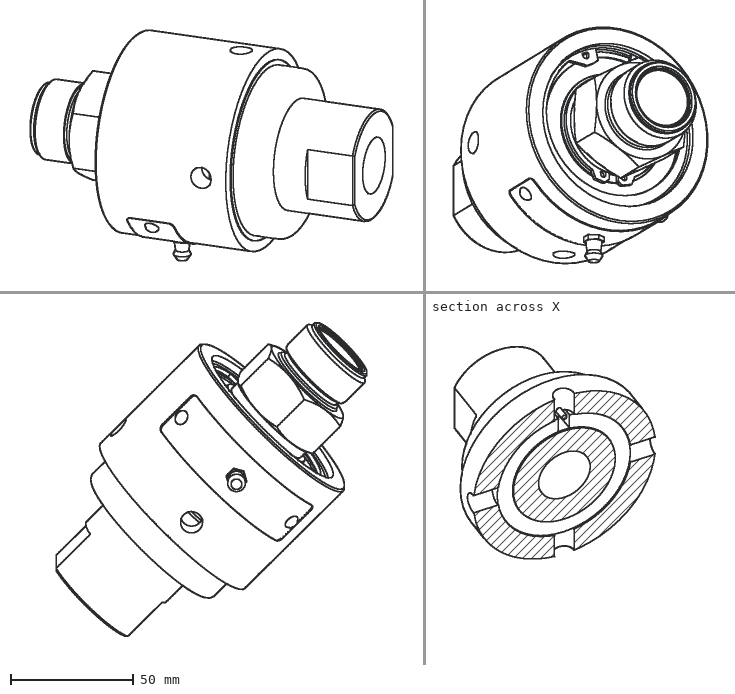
import cadquery as cq
import math

total_length = 147.0

bore_diameter = 23.5
mouth_diameter = 25.0
mouth_depth = 0.9
mouth_chamfer = 0.6
seat_diameter = 24.3
seat_end = 1.5

tip_diameter = 30.3
tip_length = 1.9
tip_chamfer = 0.6
thread_diameter = 33.4
thread_chamfer_end = 3.2
thread_end = 14.5
thread_shoulder = 15.7
shoulder_diameter = 32.6
relief_diameter = 29.5
relief_chamfer = 0.7
relief_end = 18.2
collar_start = 19.0
collar_diameter = 32.0

hex_start = 20.0
hex_end = 39.8
hex_across_flats = 41.2
hex_chamfer_angle = 30.0
journal_diameter = 40.0

housing_start = 40.4
housing_end = 99.0
housing_diameter = 84.0
housing_chamfer = 0.7

recess_diameter = 68.0
recess_mouth_chamfer = 0.7
ring_face = 44.1
ring_thickness = 1.8
bearing_face = ring_face + ring_thickness
bearing_edge_diameter = 65.5
bearing_edge_depth = 0.7
outer_race_bore = 61.2
inner_race_diameter = 46.5
shield_depth = 0.9

ring_bore_diameter = 62.3
ring_bore_offset = 2.0
ring_hole_diameter = 3.0
ring_hole_y = 13.0
ring_hole_z = 29.3
ring_gap_top_y = 8.7
ring_gap_corner = (7.2, 28.0)
ring_lug_bottom = [(8.8, 26.6), (12.2, 24.8), (15.0, 25.3), (21.0, 25.7)]

clip_diameter = 44.1
clip_hole_diameter = 2.5
clip_hole_y = 4.9
clip_hole_z = -20.9
clip_gap = 4.1
clip_lug = [
    (clip_gap / 2, -17.6),
    (clip_gap / 2, -22.8),
    (3.4, -24.1),
    (4.4, -24.3),
    (8.4, -23.2),
    (10.3, -18.5),
    (8.8, -16.2),
]

spigot_diameter = 75.0
spigot_end = 99.4
cover_diameter = 70.7
cover_end = 112.2
cover_fillet = 2.2
shaft_diameter = 46.5
shaft_chamfer = 0.7
flat_start = 126.3
flat_across = 41.2

leak_hole_x = 87.9
leak_hole_diameter = 9.0
leak_hole_count = 4
seal_ring_radius = 30.6
seal_gap_x = 87.3
seal_gap_width = 1.2
seal_gap_bottom_radius = 23.5
pin_diameter = 2.5
pin_slot_width = 5.1

plate_x = 61.6
plate_length = 20.9
plate_thickness = 0.5
plate_half_angle = 54.3
plate_corner_radius = 2.0
rivet_angle = 48.0
rivet_diameter = 6.0
rivet_height = 1.8
nipple_hex_corners = 8.5
nipple_hex_bottom = 44.2
nipple_collar_radius = 3.4
nipple_neck_radius = 2.8
nipple_neck_bottom = 48.5
nipple_head_radius = 3.7
nipple_head_widest = 50.3
nipple_tip_radius = 2.2
nipple_bottom = 52.55

housing_radius = housing_diameter / 2
plate_radius = housing_radius + plate_thickness


def tube(x_start, x_end, outer, inner=0.0):
    """Cylinder along X between two stations, hollow when an inner diameter is given."""
    profile = cq.Workplane("YZ", origin=(x_start, 0, 0)).circle(outer / 2)
    if inner > 0:
        profile = profile.circle(inner / 2)
    return profile.extrude(x_end - x_start)


def prism(points, x_start, x_end):
    """Closed YZ polygon swept along X."""
    return cq.Workplane("YZ", origin=(x_start, 0, 0)).polyline(points).close().extrude(x_end - x_start)


def revolved_about_x(outline):
    """Closed outline of (x, radius) points turned about the main axis."""
    return cq.Workplane("XY").polyline(outline).close().revolve(360, (0, 0, 0), (1, 0, 0))


def revolved_about_z(profile):
    """Closed XZ profile turned about Z, then moved to the middle of the name plate."""
    return profile.close().revolve(360, (0, 0, 0), (0, 1, 0)).translate((plate_x, 0, 0))


def mirrored_pair(solid):
    """The solid together with its mirror image on the other side of the XZ plane."""
    return solid.union(solid.mirror("XZ"))


def threaded_nipple():
    """Turned nipple with a relief groove and a conical collar in front of the hexagon."""
    outline = [
        (0, 0),
        (0, tip_diameter / 2 - tip_chamfer),
        (tip_chamfer, tip_diameter / 2),
        (tip_length, tip_diameter / 2),
        (thread_chamfer_end, thread_diameter / 2),
        (thread_end, thread_diameter / 2),
        (thread_shoulder, shoulder_diameter / 2),
        (thread_shoulder, relief_diameter / 2 + relief_chamfer),
        (thread_shoulder + relief_chamfer, relief_diameter / 2),
        (relief_end, relief_diameter / 2),
        (collar_start, collar_diameter / 2),
        (hex_start, thread_diameter / 2),
        (hex_start, 0),
    ]
    return revolved_about_x(outline)


def wrench_hex():
    """Hexagon with corners up and down, both ends turned to a cone tangent to the flats."""
    flat_radius = hex_across_flats / 2
    corner_radius = flat_radius / math.cos(math.radians(30))
    cone_length = (corner_radius - flat_radius) * math.tan(math.radians(hex_chamfer_angle))
    corners = [
        (corner_radius * math.sin(math.radians(60 * i)), corner_radius * math.cos(math.radians(60 * i)))
        for i in range(6)
    ]
    turned_outline = [
        (hex_start, 0),
        (hex_start, flat_radius),
        (hex_start + cone_length, corner_radius),
        (hex_end - cone_length, corner_radius),
        (hex_end, flat_radius),
        (hex_end, 0),
    ]
    return prism(corners, hex_start, hex_end).intersect(revolved_about_x(turned_outline))


def housing():
    """Housing cylinder with the stepped bearing recess open at its front."""
    body = tube(housing_start, housing_end, housing_diameter).edges("<X").chamfer(housing_chamfer)
    recess = tube(housing_start, bearing_face, recess_diameter)
    mouth = tube(housing_start, ring_face, recess_diameter + 2 * recess_mouth_chamfer)
    mouth = mouth.edges(">X").chamfer(recess_mouth_chamfer)
    shield = tube(bearing_face, bearing_face + shield_depth, outer_race_bore, inner_race_diameter)
    edge_groove_end = bearing_face + bearing_edge_depth
    edge_groove = tube(bearing_face, edge_groove_end, recess_diameter, bearing_edge_diameter)
    return body.cut(recess).cut(mouth).cut(shield).cut(edge_groove)


def internal_retaining_ring():
    """Eccentric ring filling the recess bore, open at the top between two lugs."""
    disc = tube(ring_face, bearing_face, recess_diameter)
    opening = tube(ring_face, bearing_face, ring_bore_diameter).translate((0, 0, ring_bore_offset))
    recess_radius = recess_diameter / 2
    gap_corners = [(ring_gap_top_y, recess_radius), ring_gap_corner]
    gap_outline = gap_corners + [(-y, z) for y, z in reversed(gap_corners)]
    lug_outline = gap_corners + ring_lug_bottom + [(ring_lug_bottom[-1][0], recess_radius)]
    lug = prism(lug_outline, ring_face, bearing_face).intersect(disc)
    hole = tube(ring_face, bearing_face, ring_hole_diameter).translate((0, ring_hole_y, ring_hole_z))
    ring = disc.cut(opening).cut(prism(gap_outline, ring_face, bearing_face))
    return ring.union(mirrored_pair(lug.cut(hole)))


def external_retaining_ring():
    ring = tube(ring_face, bearing_face, clip_diameter)
    lug = prism(clip_lug, ring_face, bearing_face)
    hole = tube(ring_face, bearing_face, clip_hole_diameter).translate((0, clip_hole_y, clip_hole_z))
    gap_bottom = -clip_diameter / 2
    gap_top = -journal_diameter / 2
    gap_outline = [
        (-clip_gap / 2, gap_bottom),
        (clip_gap / 2, gap_bottom),
        (clip_gap / 2, gap_top),
        (-clip_gap / 2, gap_top),
    ]
    gap = prism(gap_outline, ring_face, bearing_face)
    return ring.union(mirrored_pair(lug)).cut(mirrored_pair(hole)).cut(gap)


def cover_and_shaft():
    spigot = tube(housing_end, spigot_end, spigot_diameter)
    cover = tube(housing_end, cover_end, cover_diameter).edges(">X").fillet(cover_fillet)
    shaft = tube(housing_end, total_length, shaft_diameter)
    between_flats = cq.Workplane("XY").box(total_length, flat_across, shaft_diameter)
    flats = tube(flat_start, total_length, shaft_diameter).cut(between_flats.translate((total_length, 0, 0)))
    shaft = shaft.cut(flats).edges(">X").chamfer(shaft_chamfer)
    return spigot.union(cover).union(shaft)


def leak_holes():
    """Evenly spaced radial holes that end in the annular gap between the seal rings."""
    cutter = tube(
        seal_gap_x - seal_gap_width / 2,
        seal_gap_x + seal_gap_width / 2,
        2 * seal_ring_radius,
        2 * seal_gap_bottom_radius,
    )
    hole = (
        cq.Workplane("XY", origin=(leak_hole_x, 0, seal_ring_radius))
        .circle(leak_hole_diameter / 2)
        .extrude(housing_radius)
    )
    for i in range(leak_hole_count):
        cutter = cutter.union(hole.rotate((0, 0, 0), (1, 0, 0), i * 360 / leak_hole_count))
    return cutter


def pin_slot():
    """Slot in the rear seal ring, below the top leak hole, around the drive pin."""
    length = leak_hole_diameter
    depth = seal_ring_radius - seal_gap_bottom_radius
    slot = cq.Workplane("XY").box(length, pin_slot_width, depth, centered=(False, True, False))
    return slot.translate((seal_gap_x, 0, seal_gap_bottom_radius))


def drive_pin():
    pin_start = seal_gap_x - leak_hole_diameter
    pin_end = seal_gap_x + leak_hole_diameter
    return tube(pin_start, pin_end, pin_diameter).translate((0, 0, seal_ring_radius))


def name_plate():
    """Curved plate with rounded corners, trimmed from a thin shell around the housing."""
    plate = tube(
        plate_x - plate_length / 2, plate_x + plate_length / 2, 2 * plate_radius, 2 * housing_radius
    )
    top_z = -plate_radius * math.cos(math.radians(plate_half_angle))
    outline = (
        cq.Workplane("XY").box(plate_length, 2 * plate_radius, 2 * plate_radius)
        .translate((plate_x, 0, top_z - plate_radius))
        .edges("|Y and >Z").fillet(plate_corner_radius)
    )
    return plate.intersect(outline)


def rivets():
    """Domed rivet heads at both ends of the plate."""
    rim = rivet_diameter / 2
    diagonal = rim * math.sin(math.radians(45))
    dome_rise = rivet_height * math.sin(math.radians(45))
    profile = (
        cq.Workplane("XZ")
        .moveTo(0, plate_thickness - plate_radius)
        .lineTo(rim, plate_thickness - plate_radius)
        .lineTo(rim, -plate_radius)
        .threePointArc((diagonal, -plate_radius - dome_rise), (0, -plate_radius - rivet_height))
    )
    head = revolved_about_z(profile)
    return mirrored_pair(head.rotate((0, 0, 0), (1, 0, 0), rivet_angle))


def grease_nipple():
    base = (
        cq.Workplane("XY", origin=(plate_x, 0, -nipple_hex_bottom))
        .polygon(6, nipple_hex_corners)
        .extrude(nipple_hex_bottom - housing_radius + plate_thickness)
    )
    outline = [
        (0, -nipple_hex_bottom),
        (nipple_collar_radius, -nipple_hex_bottom),
        (nipple_neck_radius, -nipple_neck_bottom),
        (nipple_head_radius, -nipple_head_widest),
        (nipple_tip_radius, -nipple_bottom),
        (0, -nipple_bottom),
    ]
    body = revolved_about_z(cq.Workplane("XZ").polyline(outline))
    return base.union(body)


def through_bore():
    """Bore with a chamfered, twice stepped mouth at the nipple end."""
    outline = [
        (0, 0),
        (0, mouth_diameter / 2 + mouth_chamfer),
        (mouth_chamfer, mouth_diameter / 2),
        (mouth_depth, mouth_diameter / 2),
        (mouth_depth, seat_diameter / 2),
        (seat_end, seat_diameter / 2),
        (seat_end, bore_diameter / 2),
        (total_length, bore_diameter / 2),
        (total_length, 0),
    ]
    return revolved_about_x(outline)


result = (
    housing()
    .union(cover_and_shaft())
    .cut(leak_holes())
    .cut(pin_slot())
    .union(drive_pin())
    .union(threaded_nipple())
    .union(wrench_hex())
    .union(tube(hex_end, bearing_face, journal_diameter))
    .union(internal_retaining_ring())
    .union(external_retaining_ring())
    .union(name_plate())
    .union(rivets())
    .union(grease_nipple())
    .cut(through_bore())
)